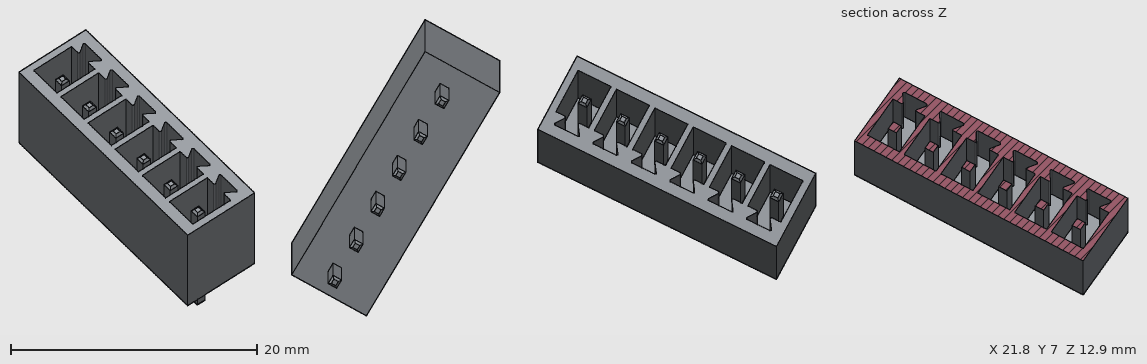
import cadquery as cq

body_length = 21.8
body_width = 7.0
body_height = 9.2

contact_count = 6
end_margin = 2.14
contact_row_y = 2.81
contact_pitch = (body_length - 2 * end_margin) / (contact_count - 1)
contact_xs = [end_margin + i * contact_pitch for i in range(contact_count)]

wall_front = 1.05
floor_thickness = 1.5
cavity_width = 3.0
cavity_length = 3.95
cavity_depth = body_height - floor_thickness

dovetail_neck = 1.0
dovetail_mouth = 2.45
dovetail_length = 1.05
dovetail_radius = 0.1

pin_side = 0.8
pin_chamfer = 0.2
pin_tail = 3.7
pin_top = 8.2


def housing():
    return cq.Workplane("XY").box(body_length, body_width, body_height, centered=False)


def cavity(x):
    """Rectangular socket with a dovetail keyway, rounded at the keyway corners."""
    shoulder_y = wall_front + cavity_length
    back_y = shoulder_y + dovetail_length
    half_width = cavity_width / 2
    half_neck = dovetail_neck / 2
    half_mouth = dovetail_mouth / 2
    outline = [
        (x - half_width, wall_front),
        (x + half_width, wall_front),
        (x + half_width, shoulder_y),
        (x + half_neck, shoulder_y),
        (x + half_mouth, back_y),
        (x - half_mouth, back_y),
        (x - half_neck, shoulder_y),
        (x - half_width, shoulder_y),
    ]
    dovetail_zone = cq.selectors.BoxSelector(
        (x - half_mouth - dovetail_radius, shoulder_y - dovetail_radius, floor_thickness),
        (x + half_mouth + dovetail_radius, back_y + dovetail_radius, body_height),
    )
    return (
        cq.Workplane("XY", origin=(0, 0, floor_thickness))
        .polyline(outline)
        .close()
        .extrude(cavity_depth)
        .edges("|Z")
        .edges(dovetail_zone)
        .fillet(dovetail_radius)
    )


def pin(x):
    return (
        cq.Workplane("XY", origin=(x, contact_row_y, -pin_tail))
        .rect(pin_side, pin_side)
        .extrude(pin_tail + pin_top)
        .faces("<Z or >Z")
        .chamfer(pin_chamfer)
    )


result = housing()
for contact_x in contact_xs:
    result = result.cut(cavity(contact_x))
    result = result.union(pin(contact_x))